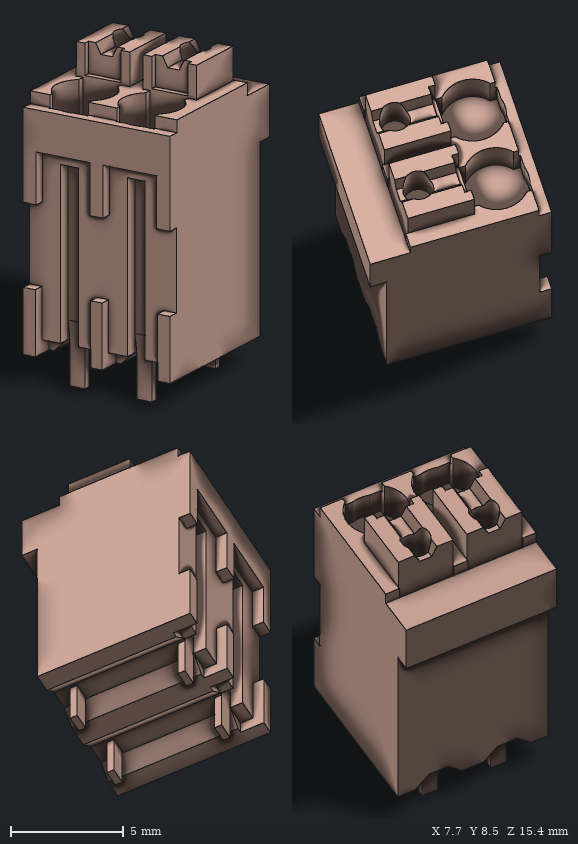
import cadquery as cq


block_width = 7.7
block_depth = 8.5
total_height = 15.42
pin_drop = 1.51
button_top_z = total_height - pin_drop

pole_pitch = 3.5
poles_x = [-pole_pitch / 2, pole_pitch / 2]

shoulder_z = 11.67
deck_z = 12.27
front_shoulder_depth = 0.6
rear_shoulder_depth = 1.88
overhang_depth = 0.77
overhang_bottom_z = 9.16
rear_shoulder_y = block_depth - rear_shoulder_depth

relief_depth = 0.55
relief_bottom_z = 3.18
relief_top_z = 7.19
window_width = 2.8
window_top_z = 9.68

foot_bay_width = 2.9
notch_ceiling_z = 0.66
notch_ceiling_width = 0.99
notch_bottom_width = 2.4

slot_width = 0.93
slot_depth = 1.17
slot_top_z = 9.1

pin_thickness = 0.35
pin_row_spacing = 5.45
pin_rows_y = [slot_depth, slot_depth + pin_row_spacing]
pin_top_z = 1.59
pin_taper_end_z = 0.86
pin_head_width = slot_width
pin_tail_width = 0.8
pin_tail_shift = 0.03

button_width = window_width
button_front_y = 3.41
button_back_y = 6.52
button_length = button_back_y - button_front_y
groove_top_width = 1.14
groove_floor_width = 0.6
groove_depth = 0.51
face_recess_width = 1.88
face_recess_depth = 0.31
face_recess_bottom_z = 12.38
tool_hole_radius = 0.7
tool_hole_y = 5.58
tool_hole_depth = 1.54

well_floor_z = 10.35
well_radius = 1.51
well_center_y = 1.96
well_channel_width = 2.0
well_front_y = 0.51
well_shift_x = -0.05


def box(x_middle, width, y_range, z_range):
    """Box centred on x_middle in X, between the given Y and Z limits."""
    y_low, y_high = y_range
    z_low, z_high = z_range
    size = (width, y_high - y_low, z_high - z_low)
    corner = (x_middle - width / 2, y_low, z_low)
    return cq.Workplane("XY").box(*size, centered=False).translate(corner)


def prism_along_y(points, y_low, y_high):
    """Extrude an outline of (x, z) points from y_low to y_high."""
    prism = cq.Workplane("XZ").polyline(points).close().extrude(y_low - y_high)
    return prism.translate((0, y_low, 0))


def housing_block():
    side_profile = [
        (0, 0),
        (0, shoulder_z),
        (front_shoulder_depth, shoulder_z),
        (front_shoulder_depth, deck_z),
        (rear_shoulder_y, deck_z),
        (rear_shoulder_y, shoulder_z),
        (block_depth, shoulder_z),
        (block_depth, overhang_bottom_z),
        (block_depth - overhang_depth, overhang_bottom_z),
        (block_depth - overhang_depth, 0),
    ]
    outline = cq.Workplane("YZ").polyline(side_profile).close()
    return outline.extrude(block_width / 2, both=True)


def front_cuts(pole_x):
    """Window, pin slot and foot bay of one pole, all open to the front face."""
    window = box(pole_x, window_width, (0, relief_depth), (relief_bottom_z, window_top_z))
    slot = box(pole_x, slot_width, (0, slot_depth), (0, slot_top_z))
    bay_face = box(pole_x, foot_bay_width, (0, relief_depth), (0, relief_bottom_z))
    bay_under = box(pole_x, foot_bay_width, (0, slot_depth), (0, notch_ceiling_z))
    return window.union(slot).union(bay_face).union(bay_under)


def underside_notch(pole_x):
    """Flared notch running front to back under one pole."""
    outline = [
        (pole_x - notch_bottom_width / 2, 0),
        (pole_x - notch_ceiling_width / 2, notch_ceiling_z),
        (pole_x + notch_ceiling_width / 2, notch_ceiling_z),
        (pole_x + notch_bottom_width / 2, 0),
    ]
    return prism_along_y(outline, 0, block_depth)


def wire_well(pole_x):
    """Round well crossed by a straight channel that breaks out over the front shoulder."""
    well_x = pole_x + well_shift_x
    barrel = (
        cq.Workplane("XY", origin=(well_x, well_center_y, well_floor_z))
        .circle(well_radius)
        .extrude(deck_z - well_floor_z)
    )
    channel = box(well_x, well_channel_width, (well_front_y, button_front_y), (well_floor_z, deck_z))
    return barrel.union(channel)


def button_pocket(pole_x):
    return box(pole_x, button_width, (button_front_y, rear_shoulder_y), (well_floor_z, deck_z))


def button(pole_x):
    """Release button with a screwdriver groove, a blind tool hole and a recessed front."""
    body = box(pole_x, button_width, (button_front_y, button_back_y), (well_floor_z, button_top_z))
    groove_floor_z = button_top_z - groove_depth
    groove_outline = [
        (pole_x - groove_top_width / 2, button_top_z),
        (pole_x - groove_floor_width / 2, groove_floor_z),
        (pole_x + groove_floor_width / 2, groove_floor_z),
        (pole_x + groove_top_width / 2, button_top_z),
    ]
    groove = prism_along_y(groove_outline, button_front_y, button_back_y)
    recess_back_y = button_front_y + face_recess_depth
    face_recess = box(
        pole_x, face_recess_width, (button_front_y, recess_back_y), (face_recess_bottom_z, button_top_z)
    )
    tool_hole = (
        cq.Workplane("XY", origin=(pole_x, tool_hole_y, groove_floor_z - tool_hole_depth))
        .circle(tool_hole_radius)
        .extrude(tool_hole_depth + groove_depth)
    )
    return body.cut(groove).cut(face_recess).cut(tool_hole)


def pin(pole_x, front_y):
    """Flat pin with a head as wide as the slot, tapering to a slightly offset tail."""
    head_left = pole_x - pin_head_width / 2
    head_right = pole_x + pin_head_width / 2
    tail_left = pole_x + pin_tail_shift - pin_tail_width / 2
    tail_right = pole_x + pin_tail_shift + pin_tail_width / 2
    outline = [
        (tail_left, -pin_drop),
        (tail_left, pin_taper_end_z),
        (head_left, pin_top_z),
        (head_right, pin_top_z),
        (tail_right, pin_taper_end_z),
        (tail_right, -pin_drop),
    ]
    return prism_along_y(outline, front_y, front_y + pin_thickness)


buttons = [button(pole_x) for pole_x in poles_x]
pins = [pin(pole_x, row_y) for row_y in pin_rows_y for pole_x in poles_x]

housing = housing_block()
housing = housing.cut(box(0, block_width, (0, relief_depth), (relief_bottom_z, relief_top_z)))
for pole_x in poles_x:
    housing = housing.cut(front_cuts(pole_x))
    housing = housing.cut(underside_notch(pole_x))
    housing = housing.cut(wire_well(pole_x))
    housing = housing.cut(button_pocket(pole_x))
for pin_body in pins:
    housing = housing.cut(pin_body)

result = cq.Compound.makeCompound(
    [housing.val(), *[body.val() for body in buttons], *[body.val() for body in pins]]
)